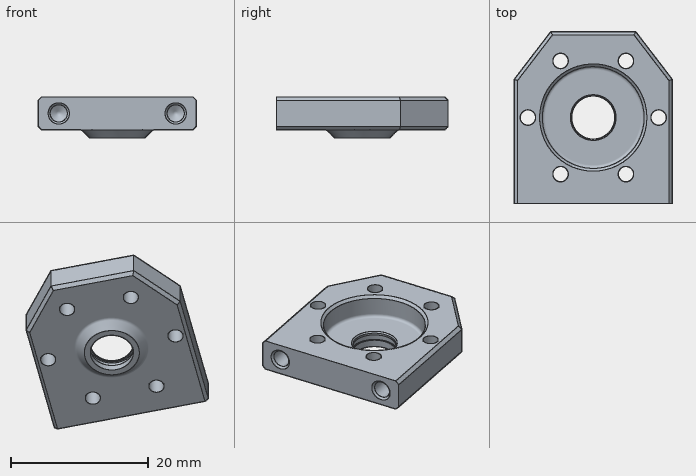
import cadquery as cq
import math

width = 23
length = 25
thickness = 4.8
corner_cut_x = 5.32
corner_cut_y = 6.95
edge_chamfer = 0.5

boss_height = 1.2
boss_tip_radius = 4
boss_root_radius = boss_tip_radius + boss_height
boss_fillet = 0.5

pocket_radius = 7.4
pocket_depth = 3.5
pocket_chamfer = 0.4
pocket_fillet = 0.45

bore_radius = 3.12
bore_chamfer = 0.2
groove_radius = 3.35
groove_width = 0.9
groove_top_depth = 0.5

bolt_count = 6
bolt_circle_radius = 9.5
bolt_hole_radius = 1.1

side_hole_spacing = 17
side_hole_radius = 1.25
side_hole_chamfer = 0.3
side_hole_depth = 6
drill_tip_angle = 118


def make_plate():
    """Plate with two cut corners; top and bottom edges are chamfered except at the -Y face."""
    half_width = width / 2
    half_length = length / 2
    outline = [
        (-half_width, -half_length),
        (half_width, -half_length),
        (half_width, half_length - corner_cut_y),
        (half_width - corner_cut_x, half_length),
        (-half_width + corner_cut_x, half_length),
        (-half_width, half_length - corner_cut_y),
    ]
    plate = cq.Workplane("XY").polyline(outline).close().extrude(thickness)
    rims = plate.faces("<Z or >Z").edges("not <Y")
    return rims.chamfer(edge_chamfer)


def revolve_profile(points):
    """Solid of revolution about the Z axis from (radius, z) points."""
    return cq.Workplane("XZ").polyline(points).close().revolve(360, (0, 0), (0, 1))


def add_boss(body):
    """Truncated cone below the plate, blended into its underside."""
    boss = revolve_profile([
        (0, 0),
        (boss_root_radius, 0),
        (boss_tip_radius, -boss_height),
        (0, -boss_height),
    ])
    root_edge = cq.selectors.RadiusNthSelector(-1)
    return body.union(boss).edges("%CIRCLE").edges(root_edge).fillet(boss_fillet)


def make_pocket():
    """Round pocket with a chamfered rim and a filleted floor."""
    floor_z = thickness - pocket_depth
    pocket = (
        cq.Workplane("XY", origin=(0, 0, floor_z))
        .circle(pocket_radius)
        .extrude(pocket_depth)
        .faces("<Z")
        .edges()
        .fillet(pocket_fillet)
    )
    rim = revolve_profile([
        (0, thickness),
        (pocket_radius + pocket_chamfer, thickness),
        (pocket_radius, thickness - pocket_chamfer),
        (0, thickness - pocket_chamfer),
    ])
    return pocket.union(rim)


def make_bore():
    """Through bore with a chamfered mouth and a ring groove below it."""
    mouth_z = thickness - pocket_depth
    groove_top_z = mouth_z - groove_top_depth
    groove_bottom_z = groove_top_z - groove_width
    return revolve_profile([
        (0, mouth_z),
        (bore_radius + bore_chamfer, mouth_z),
        (bore_radius, mouth_z - bore_chamfer),
        (bore_radius, groove_top_z),
        (groove_radius, groove_top_z),
        (groove_radius, groove_bottom_z),
        (bore_radius, groove_bottom_z),
        (bore_radius, -boss_height),
        (0, -boss_height),
    ])


def make_bolt_holes():
    """Plain through holes, two of them on the X axis."""
    return (
        cq.Workplane("XY")
        .polarArray(bolt_circle_radius, 0, 360, bolt_count)
        .circle(bolt_hole_radius)
        .extrude(thickness)
    )


def make_side_hole(x):
    """Blind hole along +Y with a chamfered mouth and a conical drill tip."""
    tip_length = side_hole_radius / math.tan(math.radians(drill_tip_angle / 2))
    profile = [
        (0, 0),
        (side_hole_radius + side_hole_chamfer, 0),
        (side_hole_radius, side_hole_chamfer),
        (side_hole_radius, side_hole_depth),
        (0, side_hole_depth + tip_length),
    ]
    hole = cq.Workplane("XY").polyline(profile).close().revolve(360, (0, 0), (0, 1))
    return hole.translate((x, -length / 2, thickness / 2))


result = add_boss(make_plate())
result = result.cut(make_pocket()).cut(make_bore()).cut(make_bolt_holes())
for side in (-1, 1):
    result = result.cut(make_side_hole(side * side_hole_spacing / 2))